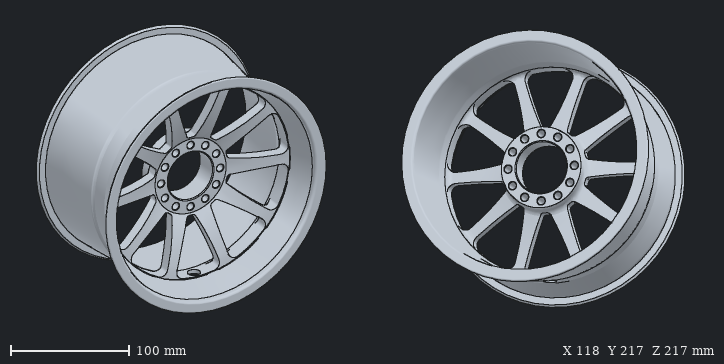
import cadquery as cq
import math


rim_width = 118.0
flange_radius = 108.5
flange_thickness = 3.5
flange_tip_round = 1.5
flange_bevel = 2.0
seat_radius = 100.5
front_seat_end = 4.8
front_seat_blend_end = 6.3
front_seat_blend_drop = 0.07
back_seat_length = 6.0
back_seat_blend = 4.8
lip_round = 2.5
wall = 2.8

step_start = 69.7
step_start_radius = 94.8
drop_start = 71.5
drop_end = 88.8
drop_radius = 93.0
step_crest_blend = 1.7
step_root_blend = 3.3

bore_taper_end = 61.8
bore_taper_end_radius = 92.5
bore_taper_blend = 8.7
ledge_radius = 89.8
ledge_start = 70.5

spoke_count = 10
spoke_pitch = 360 / spoke_count
disc_front_rim = 77.7
disc_front_middle = 72.5
disc_front_hub = 65.0
disc_back_rim = 87.7
disc_back_middle = 83.5
disc_back_hub = 74.6
disc_middle_radius = 63.0
front_rim_blend = 5.6
hub_blend = 6.5

spoke_half_width = 4.88
flare_start_radius = 78.1
flare_arc_radius = 282.0
window_inner_radius = 36.9
window_outer_radius = 89.2
window_rim_corner = 6.5
window_hub_corner = 3.0

hub_radius = 35.0
hub_face = 52.0
hub_bore_radius = 22.1
bore_chamfer = 0.9
bolt_count = 12
bolt_circle_radius = 29.0
bolt_hole_diameter = 6.5
bolt_hole_chamfer = 0.5

valve_position = (drop_start + drop_end) / 2
valve_diameter = 11.0

match_tolerance = 0.02


def ring_edge(body, position, radius):
    """Select the circular edges at one axial position and radius."""
    edges = [
        edge
        for edge in body.edges("%CIRCLE").vals()
        if abs(edge.Center().x - position) < match_tolerance
        and abs(edge.radius() - radius) < match_tolerance
    ]
    return body.newObject(edges)


def make_body():
    """Revolve the rim, disc and hub as one section."""
    tip_base = flange_radius - flange_tip_round
    tip_round_middle = flange_tip_round * (1 - math.sqrt(0.5))
    bevel_base = flange_radius - flange_bevel
    back_flange = rim_width - flange_thickness
    back_seat_end = rim_width - back_seat_length
    lip_radius = seat_radius - wall
    section = (
        cq.Workplane("XY")
        .moveTo(0, lip_radius)
        .lineTo(0, tip_base)
        .threePointArc(
            (tip_round_middle, flange_radius - tip_round_middle),
            (flange_tip_round, flange_radius),
        )
        .lineTo(flange_thickness, bevel_base)
        .lineTo(flange_thickness, seat_radius)
        .lineTo(front_seat_end, seat_radius)
        .tangentArcPoint((front_seat_blend_end, seat_radius - front_seat_blend_drop), relative=False)
        .lineTo(step_start, step_start_radius)
        .lineTo(drop_start, drop_radius)
        .lineTo(drop_end, drop_radius)
        .lineTo(back_seat_end, seat_radius)
        .lineTo(back_flange, seat_radius)
        .lineTo(back_flange, bevel_base)
        .lineTo(rim_width - flange_tip_round, flange_radius)
        .threePointArc(
            (rim_width - tip_round_middle, flange_radius - tip_round_middle),
            (rim_width, tip_base),
        )
        .lineTo(rim_width, lip_radius)
        .lineTo(back_seat_end, lip_radius)
        .lineTo(drop_end, ledge_radius)
        .lineTo(disc_back_rim, ledge_radius)
        .threePointArc((disc_back_middle, disc_middle_radius), (disc_back_hub, hub_radius))
        .lineTo(disc_back_hub, hub_bore_radius)
        .lineTo(hub_face, hub_bore_radius)
        .lineTo(hub_face, hub_radius)
        .lineTo(disc_front_hub, hub_radius)
        .threePointArc((disc_front_middle, disc_middle_radius), (disc_front_rim, ledge_radius))
        .lineTo(ledge_start, ledge_radius)
        .lineTo(bore_taper_end, bore_taper_end_radius)
        .lineTo(front_seat_end, lip_radius)
        .close()
    )
    body = section.revolve(360, (0, 0, 0), (1, 0, 0))
    blends = [
        (0, lip_radius, lip_round),
        (rim_width, lip_radius, lip_round),
        (back_seat_end, seat_radius, back_seat_blend),
        (step_start, step_start_radius, step_crest_blend),
        (drop_start, drop_radius, step_root_blend),
        (bore_taper_end, bore_taper_end_radius, bore_taper_blend),
        (disc_front_rim, ledge_radius, front_rim_blend),
        (disc_front_hub, hub_radius, hub_blend),
    ]
    for position, radius, blend in blends:
        body = ring_edge(body, position, radius).fillet(blend)
    for position in (hub_face, disc_back_hub):
        body = ring_edge(body, position, hub_bore_radius).chamfer(bore_chamfer)
    return body


def flank_half_width(radius):
    """Half the spoke width at a distance from the axis along the spoke."""
    reach = max(flare_start_radius - radius, 0)
    return spoke_half_width + flare_arc_radius - math.sqrt(flare_arc_radius**2 - reach**2)


def make_window():
    """Cutter for the opening beside the spoke that lies along +Y."""
    half_pitch = math.radians(spoke_pitch / 2)

    def flank(radius):
        return radius, flank_half_width(radius)

    def across_window(point):
        """Mirror a point onto the neighbouring spoke."""
        cosine = math.cos(2 * half_pitch)
        sine = math.sin(2 * half_pitch)
        return point[0] * cosine + point[1] * sine, point[0] * sine - point[1] * cosine

    def on_middle(radius):
        return radius * math.cos(half_pitch), radius * math.sin(half_pitch)

    outer = flank(math.sqrt(window_outer_radius**2 - spoke_half_width**2))
    flare = flank(flare_start_radius)
    flare_middle = flank((flare_start_radius + window_inner_radius) / 2)
    inner_half_width = flank_half_width(window_inner_radius)
    inner = flank(math.sqrt(window_inner_radius**2 - inner_half_width**2))

    window = (
        cq.Workplane("YZ")
        .workplane(offset=hub_face)
        .moveTo(*inner)
        .threePointArc(flare_middle, flare)
        .lineTo(*outer)
        .threePointArc(on_middle(window_outer_radius), across_window(outer))
        .lineTo(*across_window(flare))
        .threePointArc(across_window(flare_middle), across_window(inner))
        .threePointArc(on_middle(window_inner_radius), inner)
        .close()
        .extrude(rim_width - hub_face)
    )

    def corner_edges(points):
        return [
            edge
            for edge in window.edges("|X").vals()
            if any(math.dist((edge.Center().y, edge.Center().z), p) < match_tolerance for p in points)
        ]

    rim_edges = corner_edges([outer, across_window(outer)])
    window = window.newObject(rim_edges).fillet(window_rim_corner)
    hub_edges = corner_edges([inner, across_window(inner)])
    return window.newObject(hub_edges).fillet(window_hub_corner)


def make_bolt_holes():
    """Through holes with both mouths chamfered."""
    depth = disc_back_hub - hub_face
    mouth = bolt_hole_diameter / 2 + bolt_hole_chamfer
    hole = (
        cq.Workplane("XY")
        .moveTo(hub_face, 0)
        .lineTo(hub_face, mouth)
        .lineTo(hub_face + bolt_hole_chamfer, bolt_hole_diameter / 2)
        .lineTo(hub_face + depth - bolt_hole_chamfer, bolt_hole_diameter / 2)
        .lineTo(hub_face + depth, mouth)
        .lineTo(hub_face + depth, 0)
        .close()
        .revolve(360, (0, 0, 0), (1, 0, 0))
        .translate((0, bolt_circle_radius, 0))
    )
    return [hole.rotate((0, 0, 0), (1, 0, 0), i * 360 / bolt_count) for i in range(bolt_count)]


wheel = make_body()
window = make_window()
for i in range(spoke_count):
    wheel = wheel.cut(window.rotate((0, 0, 0), (1, 0, 0), i * spoke_pitch))
for hole in make_bolt_holes():
    wheel = wheel.cut(hole)

valve_hole = (
    cq.Workplane("XY")
    .center(valve_position, 0)
    .circle(valve_diameter / 2)
    .extrude(-flange_radius)
    .translate((0, 0, -disc_middle_radius))
)
result = wheel.cut(valve_hole)